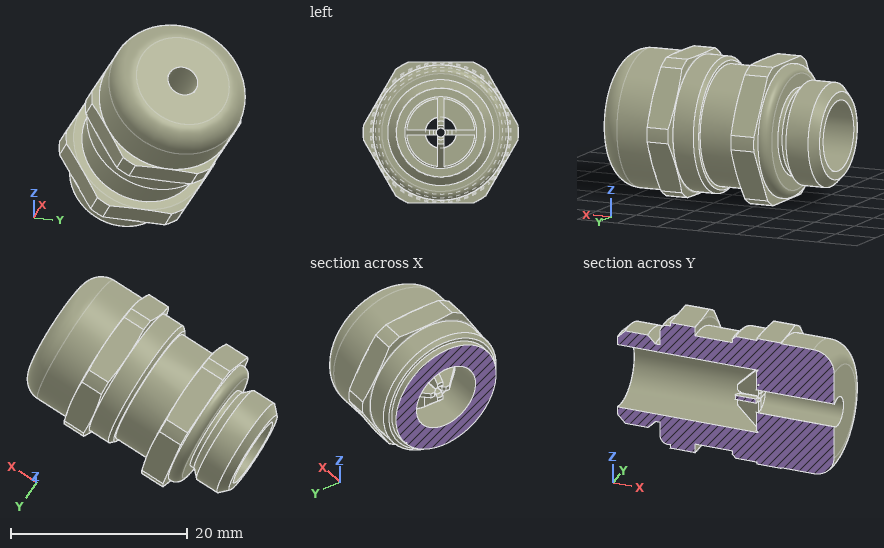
import cadquery as cq
import math

length = 26.5

thread_dia = 12.0
thread_chamfer = 0.98
neck_dia = 10.15
thread_end = 3.74
neck_start = thread_end + (thread_dia - neck_dia) / 2

ring_start = 5.2
ring_dia = 15.37
ring_round = 1.0

hex_flats = 16.0
hex_corner_dia = 17.6
hex_chamfer_length = 0.19
hex_chamfer_end_dia = 15.95
body_hex_start = 6.47
body_hex_end = 9.51
nut_hex_start = 17.0
nut_hex_end = 20.0

barrel_dia = 14.0
collar_start = 14.02
collar_dia = 15.7
collar_chamfer = 0.45
cap_dia = 15.98
dome_radius = 2.52

bore_dia = 8.14
seal_hole_dia = 3.5
seal_face = 16.95
seal_edge_chamfer = 0.2

upright_arm_width = 0.75
level_arm_width = 0.58
nose_tip_dia = 2.6
countersink_dia = 1.65
pilot_dia = 1.0


def cylinder(dia, start, end):
    return cq.Workplane("YZ", origin=(start, 0, 0)).circle(dia / 2).extrude(end - start)


def revolve_profile(points):
    """Revolve (x, radius) points about the X axis."""
    return cq.Workplane("XY").polyline(points).close().revolve(360, (0, 0, 0), (1, 0, 0))


def chamfered_hexagon(start, end, chamfer_start):
    """Hexagon with flats at top and bottom, turned corners and chamfered ends."""
    across_corners = hex_flats / math.cos(math.pi / 6)
    prism = cq.Workplane("YZ", origin=(start, 0, 0)).polygon(6, across_corners).extrude(end - start)
    corner_radius = hex_corner_dia / 2
    end_radius = hex_chamfer_end_dia / 2
    envelope = [
        (start, 0),
        (start, corner_radius),
        (end - hex_chamfer_length, corner_radius),
        (end, end_radius),
        (end, 0),
    ]
    if chamfer_start:
        envelope[1:2] = [(start, end_radius), (start + hex_chamfer_length, corner_radius)]
    return prism.intersect(revolve_profile(envelope))


def connection_end():
    thread_radius = thread_dia / 2
    neck_radius = neck_dia / 2
    return revolve_profile([
        (0, 0),
        (0, thread_radius - thread_chamfer),
        (thread_chamfer, thread_radius),
        (thread_end, thread_radius),
        (neck_start, neck_radius),
        (ring_start, neck_radius),
        (ring_start, 0),
    ])


def sealing_ring():
    """Ring of round section whose arc runs from the flat front, over the crest, to the hexagon."""
    crest_x = ring_start + ring_round
    centre_radius = ring_dia / 2 - ring_round
    back_offset = body_hex_start - crest_x
    back_radius = centre_radius + math.sqrt(ring_round**2 - back_offset**2)
    arc_middle = (
        crest_x - ring_round * math.cos(math.pi / 4),
        centre_radius + ring_round * math.sin(math.pi / 4),
    )
    return (
        cq.Workplane("XY")
        .moveTo(ring_start, 0)
        .lineTo(ring_start, centre_radius)
        .threePointArc(arc_middle, (body_hex_start, back_radius))
        .lineTo(body_hex_start, 0)
        .close()
        .revolve(360, (0, 0, 0), (1, 0, 0))
    )


def nut_collar():
    return cylinder(collar_dia, collar_start, nut_hex_start).faces("<X").edges().chamfer(collar_chamfer)


def domed_cap():
    return cylinder(cap_dia, nut_hex_end, length).faces(">X").edges().fillet(dome_radius)


def cross_nosed_seal():
    """Conical nose cut back to the flat seal face everywhere but on two crossing arms."""
    base = seal_face + seal_edge_chamfer
    tip = base - (bore_dia - nose_tip_dia) / 2
    countersink_bottom = tip + (countersink_dia - pilot_dia) / 2
    nose = revolve_profile([
        (tip, countersink_dia / 2),
        (tip, nose_tip_dia / 2),
        (base, bore_dia / 2),
        (base, pilot_dia / 2),
        (countersink_bottom, pilot_dia / 2),
    ])
    seal_hole = cylinder(seal_hole_dia, seal_face, base)

    arm_height = seal_face - tip
    upright_arm = cq.Workplane("XY").box(arm_height, upright_arm_width, bore_dia)
    level_arm = cq.Workplane("XY").box(arm_height, bore_dia, level_arm_width)
    corners = cq.Workplane("XY").box(arm_height, bore_dia, bore_dia).cut(upright_arm).cut(level_arm)
    return nose.cut(corners.translate(((tip + seal_face) / 2, 0, 0))).cut(seal_hole)


shell = (
    connection_end()
    .union(sealing_ring())
    .union(chamfered_hexagon(body_hex_start, body_hex_end, chamfer_start=False))
    .union(cylinder(barrel_dia, body_hex_end, collar_start))
    .union(nut_collar())
    .union(chamfered_hexagon(nut_hex_start, nut_hex_end, chamfer_start=True))
    .union(domed_cap())
)

bore = cylinder(bore_dia, 0, seal_face + seal_edge_chamfer)
seal_hole_through_cap = cylinder(seal_hole_dia, seal_face, length)

result = shell.cut(bore).cut(seal_hole_through_cap).union(cross_nosed_seal())